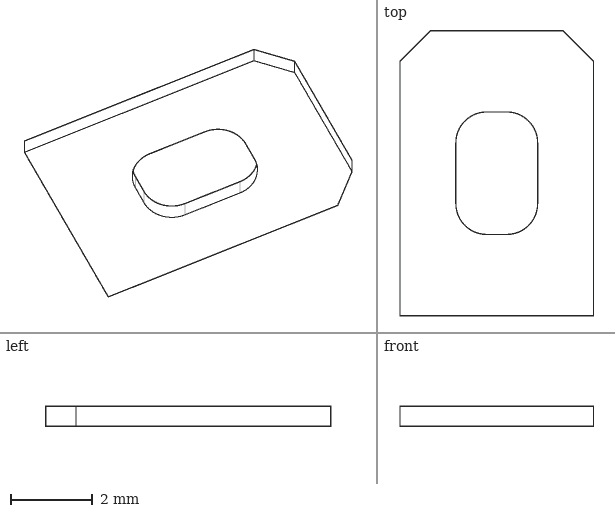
import cadquery as cq

plate_width = 4.75
plate_length = 7.0
plate_thickness = 0.5
corner_chamfer = 0.75

window_width = 2.0
window_length = 3.0
window_corner_radius = 0.75


def make_plate():
    """Flat plate with its two +Y corners cut off at 45 degrees."""
    plate = cq.Workplane("XY").box(plate_width, plate_length, plate_thickness)
    return plate.faces(">Y").edges("|Z").chamfer(corner_chamfer)


def make_window():
    """Rounded rectangular cutter, as thick as the plate and centred on it."""
    window = cq.Workplane("XY").box(window_width, window_length, plate_thickness)
    return window.edges("|Z").fillet(window_corner_radius)


result = make_plate().cut(make_window())